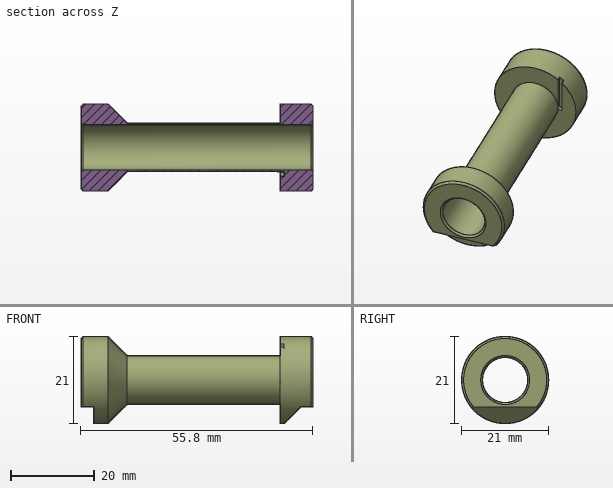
import cadquery as cq

length = 55.8
head_diameter = 21.0
shaft_diameter = 11.8
bore_diameter = 10.8
bore_mouth_diameter = 11.8
rim_chamfer = 0.5

left_rim_length = 6.5
left_step_depth = 3.0

right_head_length = 8.0
ramp_land = 1.0

flat_drop = 6.5

groove_width = 1.0
groove_depth = 1.0

head_radius = head_diameter / 2
shaft_radius = shaft_diameter / 2
bore_radius = bore_diameter / 2
mouth_chamfer = (bore_mouth_diameter - bore_diameter) / 2
cone_end = left_rim_length + head_radius - shaft_radius
right_face = length - right_head_length


def make_body():
    """Revolve the wall section, including the outer chamfers and bore mouths."""
    mouth_radius = bore_mouth_diameter / 2
    section = [
        (0, mouth_radius),
        (0, head_radius - rim_chamfer),
        (rim_chamfer, head_radius),
        (left_rim_length, head_radius),
        (cone_end, shaft_radius),
        (right_face, shaft_radius),
        (right_face, head_radius),
        (length - rim_chamfer, head_radius),
        (length, head_radius - rim_chamfer),
        (length, mouth_radius),
        (length - mouth_chamfer, bore_radius),
        (mouth_chamfer, bore_radius),
    ]
    return cq.Workplane("XY").polyline(section).close().revolve(360, (0, 0, 0), (1, 0, 0))


def make_cut_below_flat(outline):
    """Extrude an XZ outline across the full width of a head."""
    return cq.Workplane("XZ").polyline(outline).close().extrude(head_radius, both=True)


def make_left_step():
    return make_cut_below_flat([
        (0, -flat_drop),
        (left_step_depth, -flat_drop),
        (left_step_depth, -head_radius),
        (0, -head_radius),
    ])


def make_right_ramp():
    ramp_start = right_face + ramp_land
    ramp_end = ramp_start + head_radius - flat_drop
    return make_cut_below_flat([
        (ramp_start, -head_radius),
        (ramp_end, -flat_drop),
        (length, -flat_drop),
        (length, -head_radius),
    ])


def make_groove():
    """Groove tangent to the shaft, running up and out through the rim."""
    groove_y = -shaft_radius - groove_width / 2
    straight = (
        cq.Workplane("XY")
        .box(groove_depth, groove_width, head_radius, centered=(False, True, False))
        .translate((right_face, groove_y, 0))
    )
    round_end = (
        cq.Workplane("YZ", origin=(right_face, groove_y, 0))
        .circle(groove_width / 2)
        .extrude(groove_depth)
    )
    return straight.union(round_end)


result = make_body().cut(make_left_step()).cut(make_right_ramp()).cut(make_groove())